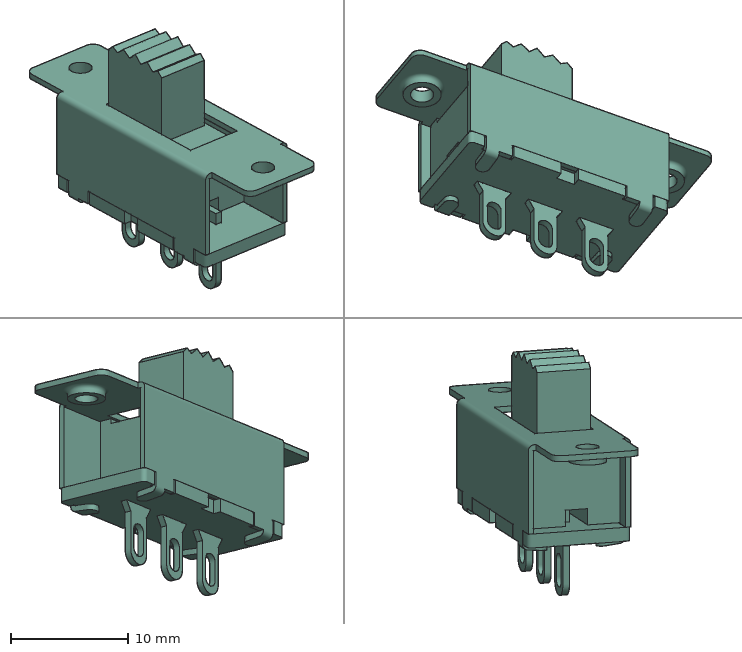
import cadquery as cq
import math


frame_length = 29.05
frame_width = 9.2
housing_length = 19.3
ear_width = 7.78
ear_corner_radius = 0.87
plate_thickness = 0.52
wall_thickness = 0.46
bend_radius = 0.52

window_length = 10.92
window_width = 5.25

ear_hole_pitch = 23.65
ear_hole_diameter = 1.97
boss_diameter = 3.25
boss_height = 0.73
boss_fillet = 0.35

board_top = -7.78
board_thickness = 1.22
board_corner_radius = 0.4
side_notch_length = 1.68
side_notch_depth = 0.73

tab_outer_x = 8.1
tab_length = 2.53
tab_clearance = 0.17
clip_length = 1.28
clip_tip_y = 2.25
clip_tip_radius = 0.6
clip_tip_drop = 0.17
clip_thickness = 0.52

slider_x = -1.97
slider_length = 13.76
slider_width = ear_width
slider_top = -0.6
slider_bottom = -7.52
top_groove_width = 5.52
top_groove_floor = -1.05
bottom_groove_width = 2.0
bottom_groove_roof = -6.1
knob_width = 4.82
knob_teeth = [(0, 6.2), (0.73, 5.52), (1.55, 6.05), (2.3, 5.4), (2.93, 5.75), (3.43, 5.29)]

terminal_count = 3
terminal_pitch = 4.97
terminal_width = 2.2
terminal_thickness = 0.6
terminal_top = -6.75
terminal_bottom = -14.37
shoulder_width = 3.3
shoulder_end = -9.87
eyelet_width = 1.35
eyelet_top = -10.75
eyelet_bottom = -13.65

board_bottom = board_top - board_thickness
outer_y = frame_width / 2
inner_y = outer_y - wall_thickness
terminal_places = [(i - (terminal_count - 1) / 2) * terminal_pitch for i in range(terminal_count)]


def block(x_size, y_size, z_low, z_high):
    """Box centred on X = 0 and Y = 0 between two heights."""
    return cq.Workplane("XY").workplane(offset=z_low).rect(x_size, y_size).extrude(z_high - z_low)


def mirrored_four_ways(solid):
    """The four copies of a solid mirrored across the X and Y middle planes."""
    pair = [solid, solid.mirror("YZ")]
    return pair + [copy.mirror("XZ") for copy in pair]


def make_channel():
    """Top plate and two side walls, bent from one sheet."""
    outside = block(housing_length, frame_width, board_top, 0).edges("|X and >Z").fillet(bend_radius)
    inside = block(housing_length, 2 * inner_y, board_top, -plate_thickness)
    return outside.cut(inside)


def make_ears():
    """Long plate that overhangs the channel at both ends."""
    plate = block(frame_length, ear_width, -plate_thickness, 0)
    return plate.edges("|Z").fillet(ear_corner_radius)


def make_boss(side):
    """Round boss under an ear, flared where it meets the plate."""
    radius = boss_diameter / 2
    base_z = -plate_thickness
    arc_middle = boss_fillet * (1 - math.sqrt(0.5))
    profile = (
        cq.Workplane("XZ")
        .moveTo(0, base_z)
        .lineTo(radius + boss_fillet, base_z)
        .threePointArc((radius + arc_middle, base_z - arc_middle), (radius, base_z - boss_fillet))
        .lineTo(radius, base_z - boss_height)
        .lineTo(0, base_z - boss_height)
        .close()
    )
    return profile.revolve(360, (0, 0, 0), (0, 1, 0)).translate((side * ear_hole_pitch / 2, 0, 0))


def make_tab():
    """Tab in one wall that passes the board, with a clip folded under the board."""
    tab = (
        cq.Workplane("XY")
        .box(tab_length, wall_thickness, board_thickness, centered=False)
        .translate((-tab_outer_x, -outer_y, board_bottom))
    )
    clip_bottom = board_bottom - clip_thickness
    bend_offset = clip_thickness * (1 - math.sqrt(0.5))
    clip = (
        cq.Workplane("YZ", origin=(-tab_outer_x, 0, 0))
        .moveTo(-outer_y, board_bottom)
        .threePointArc(
            (-outer_y + bend_offset, clip_bottom + bend_offset),
            (-outer_y + clip_thickness, clip_bottom),
        )
        .lineTo(-clip_tip_y, clip_bottom - clip_tip_drop)
        .lineTo(-clip_tip_y, board_bottom - clip_tip_drop)
        .lineTo(-inner_y, board_bottom)
        .close()
        .extrude(clip_length)
    )
    outline = (
        cq.Workplane("XY")
        .workplane(offset=2 * board_bottom)
        .center(-tab_outer_x + clip_length / 2, -(outer_y + clip_tip_y) / 2)
        .rect(clip_length, outer_y - clip_tip_y)
        .extrude(-board_bottom * 2)
        .edges("|Z and >Y")
        .fillet(clip_tip_radius)
    )
    return tab.union(clip.intersect(outline))


def make_frame():
    frame = make_channel().union(make_ears())
    for side in (-1, 1):
        frame = frame.union(make_boss(side))
    for tab in mirrored_four_ways(make_tab()):
        frame = frame.union(tab)
    window = block(window_length, window_width, -plate_thickness, 0)
    ear_holes = (
        cq.Workplane("XY")
        .pushPoints([(-ear_hole_pitch / 2, 0), (ear_hole_pitch / 2, 0)])
        .circle(ear_hole_diameter / 2)
        .extrude(-(plate_thickness + boss_height))
    )
    return frame.cut(window).cut(ear_holes)


def make_board():
    board = block(housing_length, frame_width, board_bottom, board_top)
    board = board.edges("|Z").fillet(board_corner_radius)
    tab_recess = (
        cq.Workplane("XY")
        .box(tab_length + 2 * tab_clearance, wall_thickness, board_thickness, centered=False)
        .translate((-tab_outer_x - tab_clearance, -outer_y, board_bottom))
    )
    for recess in mirrored_four_ways(tab_recess):
        board = board.cut(recess)
    for side in (-1, 1):
        notch = block(side_notch_length, 2 * side_notch_depth, board_bottom, board_top)
        board = board.cut(notch.translate((0, side * outer_y, 0)))
    for x in terminal_places:
        slot = block(terminal_width, terminal_thickness, board_bottom, board_top)
        board = board.cut(slot.translate((x, 0, 0)))
    return board


def make_slider():
    body = block(slider_length, slider_width, slider_bottom, slider_top)
    top_groove = block(slider_length, top_groove_width, top_groove_floor, slider_top)
    bottom_groove = block(slider_length, bottom_groove_width, slider_bottom, bottom_groove_roof)
    knob_half_length = knob_teeth[-1][0]
    left_teeth = [(-x, z) for x, z in reversed(knob_teeth[1:])]
    foot = [(knob_half_length, top_groove_floor), (-knob_half_length, top_groove_floor)]
    knob = (
        cq.Workplane("XZ")
        .polyline(left_teeth + knob_teeth + foot)
        .close()
        .extrude(knob_width / 2, both=True)
    )
    return body.cut(top_groove).cut(bottom_groove).union(knob).translate((slider_x, 0, 0))


def make_terminal(x):
    """Flat solder lug with shoulders against the board, a round end and a long eyelet."""
    half_width = terminal_width / 2
    half_shoulder = shoulder_width / 2
    round_start = terminal_bottom + half_width
    lug = (
        cq.Workplane("XZ")
        .moveTo(-half_width, terminal_top)
        .lineTo(half_width, terminal_top)
        .lineTo(half_width, board_bottom)
        .lineTo(half_shoulder, board_bottom)
        .lineTo(half_width, shoulder_end)
        .lineTo(half_width, round_start)
        .threePointArc((0, terminal_bottom), (-half_width, round_start))
        .lineTo(-half_width, shoulder_end)
        .lineTo(-half_shoulder, board_bottom)
        .lineTo(-half_width, board_bottom)
        .close()
        .extrude(terminal_thickness / 2, both=True)
    )
    eyelet = (
        cq.Workplane("XZ")
        .center(0, (eyelet_top + eyelet_bottom) / 2)
        .slot2D(eyelet_top - eyelet_bottom, eyelet_width, 90)
        .extrude(terminal_thickness / 2, both=True)
    )
    return lug.cut(eyelet).translate((x, 0, 0))


frame = make_frame()
board = make_board()
slider = make_slider()
terminals = [make_terminal(x) for x in terminal_places]

result = cq.Compound.makeCompound(
    [frame.val(), board.val(), slider.val(), *[terminal.val() for terminal in terminals]]
)